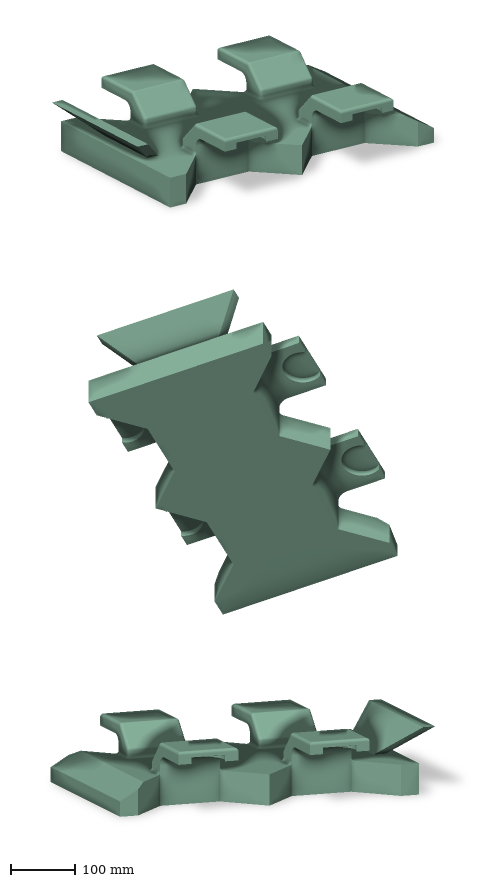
import cadquery as cq
import math

base_width = 300.0
base_length = 500.0
base_thickness = 49.5
total_height = 100.0

notch_depth = 60.0
notch_floor = 100.0
notch_offset = notch_depth + notch_floor / 2
notch_x = base_width / 2 - notch_depth

bevel_length = 45.0
bevel_drop = 25.5

arm_reach = 170.0
arm_foot_x = 50.0
arm_pad_thickness = 20.0
arm_slope_start = 65.0
arm_under_radius = 15.0
edge_radius = 5.0
pad_bottom = total_height - arm_pad_thickness
arm_slope_run = total_height - arm_slope_start

recess_radius = 32.5
recess_inset = 16.0
recess_depth = 10.0

lip_overhang = 39.5
lip_angle = 40
lip_section = 20.0
lip_top_width = 235.0
lip_bottom_width = 116.0


def make_base():
    plate = cq.Workplane("XY").box(base_width, base_length, base_thickness, centered=(True, True, False))
    rear = base_length / 2
    bevel = (
        cq.Workplane("YZ")
        .polyline([
            (rear, base_thickness),
            (rear - bevel_length, base_thickness),
            (rear, base_thickness - bevel_drop),
        ])
        .close()
        .extrude(base_width / 2, both=True)
    )
    return plate.cut(bevel)


def make_notch(side, y):
    half_floor = notch_floor / 2
    half_mouth = half_floor + notch_depth
    return (
        cq.Workplane("XY")
        .polyline([
            (side * notch_x, y - half_floor),
            (side * notch_x, y + half_floor),
            (side * base_width / 2, y + half_mouth),
            (side * base_width / 2, y - half_mouth),
        ])
        .close()
        .extrude(total_height)
    )


def make_foot_flare(y):
    """Concave fillet around the foot of a right-hand arm, running out past the notch edge."""
    length = base_width / 2 - arm_foot_x
    margin = 2 * edge_radius
    from_inner_end = (False, True, False)
    slab = (
        cq.Workplane("XY", origin=(arm_foot_x - margin, y, 0))
        .box(length + margin, notch_floor + 2 * margin, base_thickness, centered=from_inner_end)
    )
    block = (
        cq.Workplane("XY", origin=(arm_foot_x, y, base_thickness))
        .box(length, notch_floor, margin, centered=from_inner_end)
        .edges("|Z and <X")
        .fillet(edge_radius)
    )
    half_width = notch_floor / 2 + edge_radius
    half_height = edge_radius / 2
    joint = cq.selectors.BoxSelector(
        (arm_foot_x - edge_radius, y - half_width, base_thickness - half_height),
        (base_width / 2 - edge_radius, y + half_width, base_thickness + half_height),
    )
    return slab.union(block).edges(joint).fillet(edge_radius)


def make_arm(y):
    """Right-hand arm with its rounded edges and the recess under its pad."""
    body = (
        cq.Workplane("XZ", origin=(0, y + notch_floor / 2, 0))
        .moveTo(arm_foot_x, 0)
        .lineTo(arm_foot_x, arm_slope_start)
        .lineTo(arm_foot_x + arm_slope_run, total_height)
        .lineTo(arm_reach, total_height)
        .lineTo(arm_reach, pad_bottom)
        .lineTo(notch_x, pad_bottom)
        .lineTo(notch_x, 0)
        .close()
        .extrude(notch_floor)
    )
    under_corner = cq.selectors.NearestToPointSelector((notch_x, y, pad_bottom))
    body = body.edges(under_corner).fillet(arm_under_radius)
    slope_middle = (arm_foot_x + arm_slope_run / 2, arm_slope_start + arm_slope_run / 2)
    foot_middle = (arm_foot_x, arm_slope_start / 2)
    edge_points = [(arm_foot_x, y, arm_slope_start)]
    for end in (y - notch_floor / 2, y + notch_floor / 2):
        for x, z in (slope_middle, foot_middle):
            edge_points.append((x, end, z))
    rounded = body.faces(">Z").edges()
    for point in edge_points:
        rounded = rounded.add(body.edges(cq.selectors.NearestToPointSelector(point)))
    body = rounded.fillet(edge_radius)
    recess_x = arm_reach - recess_inset
    recess = (
        cq.Workplane("XY", origin=(recess_x, y, pad_bottom))
        .circle(recess_radius)
        .extrude(recess_depth)
    )
    return body.cut(recess)


def make_lip():
    front_top = -base_length / 2 - lip_overhang
    height = total_height - base_thickness
    run = height / math.tan(math.radians(lip_angle))
    sheet = (
        cq.Workplane("YZ")
        .polyline([
            (front_top, total_height),
            (front_top + lip_section, total_height),
            (front_top + lip_section + run, base_thickness),
            (front_top + run, base_thickness),
        ])
        .close()
        .extrude(lip_top_width, both=True)
    )
    outline = (
        cq.Workplane("XZ")
        .polyline([
            (-lip_bottom_width / 2, base_thickness),
            (lip_bottom_width / 2, base_thickness),
            (lip_top_width / 2, total_height),
            (-lip_top_width / 2, total_height),
        ])
        .close()
        .extrude(base_length)
    )
    return sheet.intersect(outline)


result = make_base()
for y in (-notch_offset, notch_offset):
    for side in (-1, 1):
        result = result.cut(make_notch(side, y))
    flare = make_foot_flare(y).cut(make_notch(1, y))
    for part in (flare, make_arm(y)):
        result = result.union(part).union(part.mirror("YZ"))
result = result.union(make_lip())